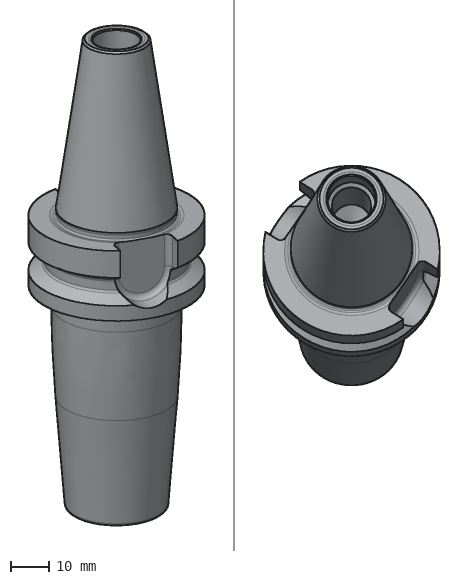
import cadquery as cq
import math


gauge_radius = 31.75 / 2
taper_length = 48.4
taper_ratio = 7 / 24
taper_top_radius = gauge_radius - taper_length * taper_ratio / 2
taper_top_chamfer = 0.5
relief_height = 0.7
neck_radius = 15.7
neck_fillet = 0.45

flange_radius = 46 / 2
flange_top_z = -2.0
flange_bottom_z = -22.0
recess_depth = 0.2
recess_floor_radius = 16.65
recess_rim_radius = 17.5
recess_floor_z = flange_top_z - recess_depth
groove_center_z = -13.65
groove_floor_radius = 19.0
groove_floor_width = 3.4
groove_side_angle = 30
groove_fillet = 0.8
groove_floor_top_z = groove_center_z + groove_floor_width / 2
groove_floor_bottom_z = groove_center_z - groove_floor_width / 2
groove_side_height = (flange_radius - groove_floor_radius) * math.tan(math.radians(groove_side_angle))

slot_width = 16.2
slot_floor_x = 16.3
slot_arc_center_z = -10.95
slot_floor_fillet = 1.6
slot_cutter_top_z = 0.0

nose_bottom_z = -85.0
nose_radius = 34 / 2
nose_tip_radius = 27 / 2
nose_cone_angle = 4.5
nose_root_fillet = 2.0
nose_tip_fillet = 1.0
nose_arc_top_z = -27.8
nose_cone_top_z = -53.5
nose_cone_slope = math.tan(math.radians(nose_cone_angle))
nose_cone_top_radius = nose_tip_radius + (nose_cone_top_z - nose_bottom_z) * nose_cone_slope

bore_radius = 12.5 / 2
bore_chamfer = 0.35
rim_recess_radius = 7.35
rim_recess_depth = 0.15
bore_depth = 6.7
drill_radius = 10.2 / 2
drill_depth = 24.0
drill_point_angle = 118
drill_point_slope = 1 / math.tan(math.radians(drill_point_angle / 2))


def taper_shank():
    """Taper and neck, with a concave fillet where the neck meets the recess floor."""
    chamfer_bottom_z = taper_length - taper_top_chamfer
    chamfer_bottom_radius = taper_top_radius + taper_top_chamfer * taper_ratio / 2
    fillet_offset = neck_fillet * (1 - math.cos(math.pi / 4))
    fillet_middle = (neck_radius + fillet_offset, recess_floor_z + fillet_offset)
    return (
        cq.Workplane("XZ")
        .moveTo(0, recess_floor_z)
        .lineTo(neck_radius + neck_fillet, recess_floor_z)
        .threePointArc(fillet_middle, (neck_radius, recess_floor_z + neck_fillet))
        .lineTo(neck_radius, -relief_height)
        .lineTo(gauge_radius, 0)
        .lineTo(chamfer_bottom_radius, chamfer_bottom_z)
        .lineTo(taper_top_radius - taper_top_chamfer, taper_length)
        .lineTo(0, taper_length)
        .close()
        .revolve(360, (0, 0), (0, 1))
    )


def flange():
    """Flange disc with the neck recess and the V groove."""
    disc = (
        cq.Workplane("XZ")
        .moveTo(0, recess_floor_z)
        .lineTo(recess_floor_radius, recess_floor_z)
        .lineTo(recess_rim_radius, flange_top_z)
        .lineTo(flange_radius, flange_top_z)
        .lineTo(flange_radius, groove_floor_top_z + groove_side_height)
        .lineTo(groove_floor_radius, groove_floor_top_z)
        .lineTo(groove_floor_radius, groove_floor_bottom_z)
        .lineTo(flange_radius, groove_floor_bottom_z - groove_side_height)
        .lineTo(flange_radius, flange_bottom_z)
        .lineTo(0, flange_bottom_z)
        .close()
        .revolve(360, (0, 0), (0, 1))
    )
    groove_zone = cq.selectors.BoxSelector(
        (-flange_radius, -flange_radius, groove_floor_bottom_z - groove_side_height / 2),
        (flange_radius, flange_radius, groove_floor_top_z + groove_side_height / 2),
    )
    return disc.edges("%CIRCLE").edges(groove_zone).fillet(groove_fillet)


def nose():
    """Nose below the flange, with a concave fillet at its root and a rounded tip."""
    arc_middle_angle = math.radians(nose_cone_angle / 2)
    arc_radius = (nose_arc_top_z - nose_cone_top_z) / math.sin(math.radians(nose_cone_angle))
    arc_middle = (
        nose_radius - arc_radius * (1 - math.cos(arc_middle_angle)),
        nose_arc_top_z - arc_radius * math.sin(arc_middle_angle),
    )
    fillet_offset = nose_root_fillet * (1 - math.cos(math.pi / 4))
    root_middle = (nose_radius + fillet_offset, flange_bottom_z - fillet_offset)
    return (
        cq.Workplane("XZ")
        .moveTo(0, flange_bottom_z)
        .lineTo(nose_radius + nose_root_fillet, flange_bottom_z)
        .threePointArc(root_middle, (nose_radius, flange_bottom_z - nose_root_fillet))
        .lineTo(nose_radius, nose_arc_top_z)
        .threePointArc(arc_middle, (nose_cone_top_radius, nose_cone_top_z))
        .lineTo(nose_tip_radius, nose_bottom_z)
        .lineTo(0, nose_bottom_z)
        .close()
        .revolve(360, (0, 0), (0, 1))
        .faces("<Z")
        .edges()
        .fillet(nose_tip_fillet)
    )


def stud_bore():
    """Cutter for the dished rim, the chamfered bore, its conical ledge and the drilled hole below."""
    chamfer_top_z = taper_length - rim_recess_depth
    ledge_z = taper_length - bore_depth
    ledge_bottom_z = ledge_z - (bore_radius - drill_radius) * drill_point_slope
    drill_end_z = taper_length - drill_depth
    return (
        cq.Workplane("XZ")
        .moveTo(0, taper_length)
        .lineTo(rim_recess_radius, taper_length)
        .lineTo(bore_radius + bore_chamfer, chamfer_top_z)
        .lineTo(bore_radius, chamfer_top_z - bore_chamfer)
        .lineTo(bore_radius, ledge_z)
        .lineTo(drill_radius, ledge_bottom_z)
        .lineTo(drill_radius, drill_end_z)
        .lineTo(0, drill_end_z - drill_radius * drill_point_slope)
        .close()
        .revolve(360, (0, 0), (0, 1))
    )


def drive_slot():
    """Cutter for the +X slot: open at the top and outside, round at the bottom."""
    half_width = slot_width / 2
    return (
        cq.Workplane("YZ", origin=(slot_floor_x, 0, 0))
        .moveTo(-half_width, slot_cutter_top_z)
        .lineTo(-half_width, slot_arc_center_z)
        .threePointArc((0, slot_arc_center_z - half_width), (half_width, slot_arc_center_z))
        .lineTo(half_width, slot_cutter_top_z)
        .close()
        .extrude(flange_radius)
        .faces("<X")
        .edges("not |Y")
        .fillet(slot_floor_fillet)
    )


slot = drive_slot()
result = (
    taper_shank()
    .union(flange())
    .union(nose())
    .cut(stud_bore())
    .cut(slot)
    .cut(slot.mirror("YZ"))
)